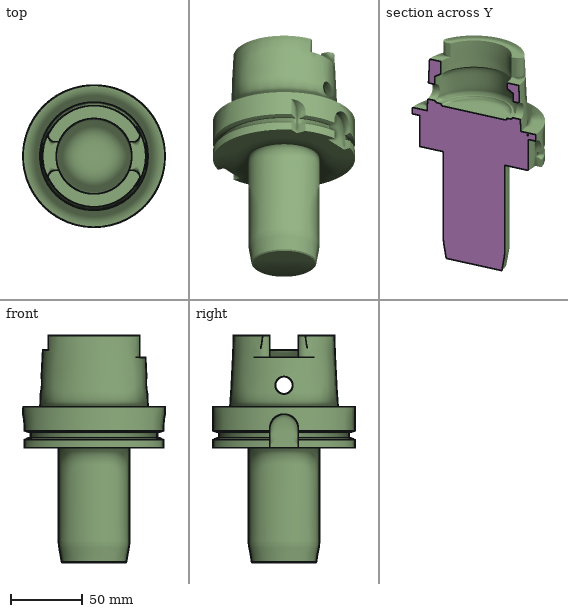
import cadquery as cq
import math

total_height = 159.9
taper_height = 50.0
flange_height = 29.0
flange_top = total_height - taper_height
flange_bottom = flange_top - flange_height

shank_radius = 25.02
nose_blend_top = 15.0
nose_blend_radius = 20.0
nose_angle = math.radians(10)
nose_chamfer = 0.8

flange_radius = 49.97
groove_radius = 45.7
groove_ledge_radius = 46.9
groove_floor_bottom = flange_bottom + 7.0
groove_floor_top = flange_bottom + 10.9
groove_lower_edge = flange_bottom + 5.6
groove_upper_edge = flange_bottom + 12.0

taper_base_radius = 38.0
taper_top_radius = 35.58
bore_radius = 26.5
bore_depth = 20.0
undercut_radius = 31.58
undercut_bottom_depth = 40.0
undercut_cone_angle = math.radians(60)
undercut_corner_radius = 2.4
bore_floor_radius = 25.02
cross_hole_diameter = 12.0
cross_hole_depth = 35.0

notch_half_width = 10.0
notch_depth_left = 10.2
notch_depth_right = 15.4
finger_radius = 5.0
finger_center_x = 27.3

slot_width = 20.0
slot_top = flange_bottom + 23.7
slot_floor_x = 44.0
side_slot_width = 16.0
side_slot_center_y = 39.5
side_slot_floor_x = 31.7


def make_body():
    """Revolve the outside profile of shank, flange and taper."""
    blend_drop = nose_blend_radius * math.sin(nose_angle)
    blend_inset = nose_blend_radius * (1 - math.cos(nose_angle))
    blend_end = (shank_radius - blend_inset, nose_blend_top - blend_drop)
    nose_run = (blend_end[1] - nose_chamfer) * math.tan(nose_angle)
    nose_radius = blend_end[0] - nose_run
    profile = (
        cq.Workplane("XZ")
        .moveTo(0, 0)
        .lineTo(nose_radius - nose_chamfer, 0)
        .lineTo(nose_radius, nose_chamfer)
        .lineTo(*blend_end)
        .radiusArc((shank_radius, nose_blend_top), -nose_blend_radius)
        .lineTo(shank_radius, flange_bottom)
        .lineTo(flange_radius, flange_bottom)
        .lineTo(flange_radius, groove_lower_edge)
        .lineTo(groove_ledge_radius, groove_floor_bottom)
        .lineTo(groove_radius, groove_floor_bottom)
        .lineTo(groove_radius, groove_floor_top)
        .lineTo(groove_ledge_radius, groove_floor_top)
        .lineTo(flange_radius, groove_upper_edge)
        .lineTo(flange_radius, flange_top)
        .lineTo(taper_base_radius, flange_top)
        .lineTo(taper_top_radius, total_height)
        .lineTo(0, total_height)
        .close()
    )
    return profile.revolve(360, (0, 0, 0), (0, 1, 0))


def make_bore():
    """Blind bore with an undercut that opens in a cone and ends on a ledge above a shallow, dished floor."""
    cone_length = (undercut_radius - bore_radius) / math.tan(undercut_cone_angle)
    undercut_top = total_height - bore_depth - cone_length
    undercut_bottom = total_height - undercut_bottom_depth
    ledge_z = undercut_bottom - undercut_corner_radius
    floor_corner_radius = bore_radius - bore_floor_radius
    floor_z = ledge_z - floor_corner_radius
    profile = (
        cq.Workplane("XZ")
        .moveTo(0, total_height)
        .lineTo(bore_radius, total_height)
        .lineTo(bore_radius, total_height - bore_depth)
        .lineTo(undercut_radius, undercut_top)
        .lineTo(undercut_radius, undercut_bottom)
        .radiusArc((undercut_radius - undercut_corner_radius, ledge_z), undercut_corner_radius)
        .lineTo(bore_radius, ledge_z)
        .radiusArc((bore_floor_radius, floor_z), floor_corner_radius)
        .lineTo(0, floor_z)
        .close()
    )
    return profile.revolve(360, (0, 0, 0), (0, 1, 0))


def make_notch(side, depth):
    """Rim notch on one X side, its walls rounding outward onto straight, tangent ends."""
    finger_center_y = notch_half_width + finger_radius
    end_angle = math.atan2(finger_center_y, finger_center_x)
    middle_angle = (end_angle - math.pi / 2) / 2
    tail_length = 6.4
    outer_x = taper_base_radius + 1.6

    def round_point(angle):
        x = finger_center_x + finger_radius * math.cos(angle)
        y = finger_center_y + finger_radius * math.sin(angle)
        return x, y

    middle = round_point(middle_angle)
    end = round_point(end_angle)
    tail = (
        end[0] - tail_length * math.sin(end_angle),
        end[1] + tail_length * math.cos(end_angle),
    )

    def place(point, half):
        return side * point[0], half * point[1]

    start = (finger_center_x, notch_half_width)
    outline = (
        cq.Workplane("XY", origin=(0, 0, total_height - depth))
        .moveTo(0, -notch_half_width)
        .lineTo(*place(start, -1))
        .threePointArc(place(middle, -1), place(end, -1))
        .lineTo(*place(tail, -1))
        .lineTo(*place((outer_x, tail[1]), -1))
        .lineTo(*place((outer_x, tail[1]), 1))
        .lineTo(*place(tail, 1))
        .lineTo(*place(end, 1))
        .threePointArc(place(middle, 1), place(start, 1))
        .lineTo(0, notch_half_width)
        .close()
    )
    return outline.extrude(depth)


def make_arched_slot(side, width, center_y, floor_x):
    """Round-topped slot cut along X, from its floor out past the flange rim."""
    radius = width / 2
    spring_z = slot_top - radius
    outline = (
        cq.Workplane("YZ", origin=(side * floor_x, 0, 0))
        .moveTo(center_y - radius, flange_bottom)
        .lineTo(center_y - radius, spring_z)
        .threePointArc((center_y, slot_top), (center_y + radius, spring_z))
        .lineTo(center_y + radius, flange_bottom)
        .close()
    )
    return outline.extrude(side * flange_radius)


def make_cross_hole():
    """Hole through both walls of the hollow taper along X."""
    return (
        cq.Workplane("YZ")
        .center(0, total_height - cross_hole_depth)
        .circle(cross_hole_diameter / 2)
        .extrude(flange_radius, both=True)
    )


result = make_body().cut(make_bore()).cut(make_cross_hole())
for side, depth in ((-1, notch_depth_left), (1, notch_depth_right)):
    result = result.cut(make_notch(side, depth))
    result = result.cut(make_arched_slot(side, slot_width, 0, slot_floor_x))
result = result.cut(make_arched_slot(-1, side_slot_width, side_slot_center_y, side_slot_floor_x))